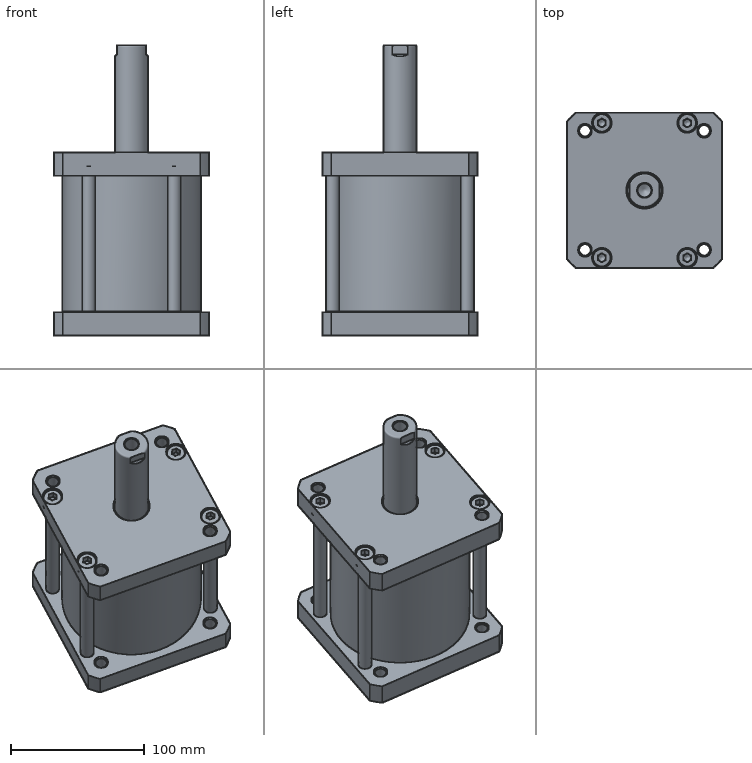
import cadquery as cq
import math

total_height = 217.0
plate_side = 116.0
plate_corner_diameter = 155.0
plate_thickness = 17.5
top_plate_top = 137.0
top_plate_bottom = top_plate_top - plate_thickness

barrel_diameter = 104.0
bottom_gap = 0.5
barrel_bottom = plate_thickness + bottom_gap

mount_offset = 44.5
mount_diameter = 8.5
mount_mouth_diameter = 10.5
countersink_angle = 90.0

tie_x = 32.0
tie_y = 50.3
tie_diameter = 10.0
head_diameter = 13.0
head_height = 10.0
head_edge_radius = 0.9
head_recess = 0.5
counterbore_diameter = 14.0
counterbore_mouth_diameter = 14.8
counterbore_depth = head_height + head_recess
socket_sides = 6
socket_width = 5.9
socket_depth = 5.0
drill_tip_angle = 120.0

rod_diameter = 25.0
rod_end_radius = 1.3
flat_width = 22.0
flat_length = 7.0
rod_hole_diameter = 10.2
rod_hole_mouth_diameter = 11.3
rod_hole_depth = 20.0

rod_bore_diameter = 25.5
rod_bore_mouth_diameter = 27.3

signs = (-1, 1)
mount_points = [(sx * mount_offset, sy * mount_offset) for sx in signs for sy in signs]
tie_points = [(sx * tie_x, sy * tie_y) for sx in signs for sy in signs]


def cylinder(diameter, bottom, top):
    """Cylinder about the Z axis between two heights."""
    return cq.Workplane("XY").workplane(offset=bottom).circle(diameter / 2).extrude(top - bottom)


def drill_tip(diameter, top):
    """Downward cone left by a drill, its base at height `top`."""
    depth = diameter / 2 / math.tan(math.radians(drill_tip_angle / 2))
    outline = cq.Workplane("XZ").moveTo(0, top).lineTo(diameter / 2, top).lineTo(0, top - depth).close()
    return outline.revolve(360, (0, 0, 0), (0, 1, 0))


def edge_break(hole_diameter, mouth_diameter, top):
    """45 degree cone that chamfers the mouth of a hole at height `top`."""
    depth = (mouth_diameter - hole_diameter) / 2
    hole_circle = cq.Workplane("XY").workplane(offset=top - depth).circle(hole_diameter / 2)
    return hole_circle.workplane(offset=depth).circle(mouth_diameter / 2).loft()


def mounting_plate(bottom):
    """Square plate with its corners turned round about the axis, four countersunk mounting holes."""
    plate = cq.Workplane("XY").workplane(offset=bottom).rect(plate_side, plate_side).extrude(plate_thickness)
    plate = plate.intersect(cylinder(plate_corner_diameter, bottom, bottom + plate_thickness))
    face = plate.faces(">Z").workplane(origin=(0, 0, 0))
    return face.pushPoints(mount_points).cskHole(mount_diameter, mount_mouth_diameter, countersink_angle)


def make_top_plate():
    """Mounting plate with counterbored tie bolt holes and a chamfered bore for the rod."""
    plate = mounting_plate(top_plate_bottom)
    counterbore = cylinder(counterbore_diameter, top_plate_top - counterbore_depth, top_plate_top)
    counterbore = counterbore.union(edge_break(counterbore_diameter, counterbore_mouth_diameter, top_plate_top))
    bolt_hole = counterbore.union(cylinder(tie_diameter, top_plate_bottom, top_plate_top))
    for x, y in tie_points:
        plate = plate.cut(bolt_hole.translate((x, y, 0)))
    plate = plate.cut(cylinder(rod_bore_diameter, top_plate_bottom, top_plate_top))
    return plate.cut(edge_break(rod_bore_diameter, rod_bore_mouth_diameter, top_plate_top))


def make_tie_bolt():
    """Socket head bolt on the Z axis, its head just below the top face of the top plate."""
    head_top = top_plate_top - head_recess
    head_bottom = head_top - head_height
    head = cylinder(head_diameter, head_bottom, head_top).faces(">Z").fillet(head_edge_radius)
    bolt = head.union(cylinder(tie_diameter, barrel_bottom, head_bottom))
    socket_bottom = head_top - socket_depth
    half_side_angle = 180 / socket_sides
    corner_diameter = socket_width / math.cos(math.radians(half_side_angle))
    socket = (
        cq.Workplane("XY")
        .workplane(offset=socket_bottom)
        .transformed(rotate=(0, 0, half_side_angle))
        .polygon(socket_sides, corner_diameter)
        .extrude(socket_depth)
    )
    return bolt.cut(socket).cut(drill_tip(socket_width, socket_bottom))


def flat_cutter(side):
    """Block that leaves one wrench flat, ending in a 45 degree slope; `side` is the sign of X."""
    inner = side * flat_width / 2
    outer = side * rod_diameter / 2
    flat_end = total_height - flat_length
    slope_end = flat_end - (rod_diameter - flat_width) / 2
    corners = [(inner, total_height), (inner, flat_end), (outer, slope_end), (outer, total_height)]
    return cq.Workplane("XZ").polyline(corners).close().extrude(rod_diameter / 2, both=True)


def make_rod():
    """Round rod standing on the barrel, with two wrench flats and a drilled hole in its end."""
    rod = cylinder(rod_diameter, top_plate_bottom, total_height).faces(">Z").fillet(rod_end_radius)
    for side in signs:
        rod = rod.cut(flat_cutter(side))
    hole_bottom = total_height - rod_hole_depth
    rod = rod.cut(cylinder(rod_hole_diameter, hole_bottom, total_height))
    rod = rod.cut(drill_tip(rod_hole_diameter, hole_bottom))
    return rod.cut(edge_break(rod_hole_diameter, rod_hole_mouth_diameter, total_height))


bottom_plate = mounting_plate(0)
top_plate = make_top_plate()
barrel = cylinder(barrel_diameter, barrel_bottom, top_plate_bottom)
rod = make_rod()
tie_bolts = [make_tie_bolt().translate((x, y, 0)) for x, y in tie_points]

result = cq.Compound.makeCompound(
    [bottom_plate.val(), barrel.val(), top_plate.val(), rod.val(), *[bolt.val() for bolt in tie_bolts]]
)